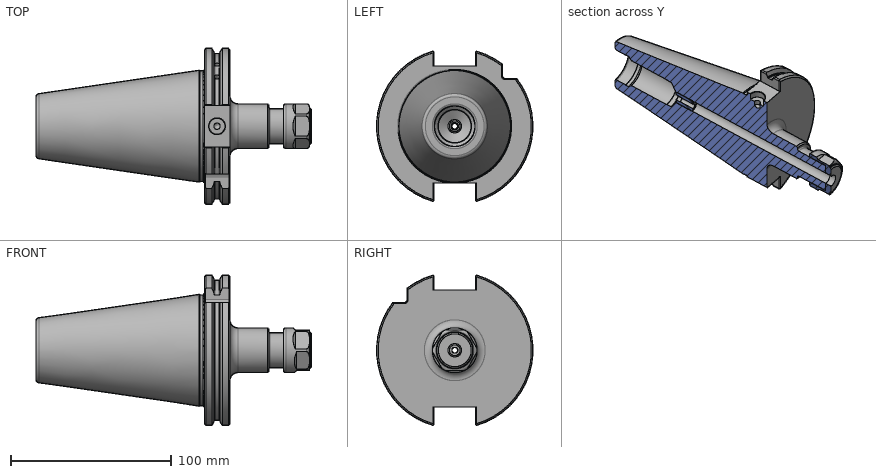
import cadquery as cq
import math

TOTAL_LENGTH = 171.8

TAPER_TIP_DIA = 40.2
TAPER_RATIO = 7 / 24
TAPER_LENGTH = 101.7
TAPER_TIP_FILLET = 2.0
RELIEF_DIA = 69.2
RELIEF_CONE_LENGTH = 0.7
RELIEF_FILLET = 0.9

FLANGE_START = 105.0
FLANGE_WIDTH = 16.0
FLANGE_DIA = 97.5
FLANGE_CHAMFER = 1.0
WALL_CHAMFER = 0.7

GROOVE_OFFSET = 7.9
GROOVE_MOUTH_WIDTH = 6.5
GROOVE_FLOOR_WIDTH = 3.6
GROOVE_VEE_DEPTH = 2.4
GROOVE_DEPTH = 3.3
GROOVE_FLOOR_FILLET = 0.5

SLOT_WIDTH = 25.6
SLOT_TOP_FLOOR = 37.6
SLOT_BOTTOM_FLOOR = 35.4
SLOT_RIM_CHAMFER = 0.9

NOTCH_WALL = 29.7
NOTCH_FILLET = 2.0

POCKET_DIA = 10.0
POCKET_DEPTH = 4.6
POCKET_CHAMFER = 0.25
PILOT_DIA = 4.0
PILOT_DEPTH = 3.5
DRILL_TIP_ANGLE = 118.0

RADIAL_HOLE_DIA = 3.5
RADIAL_HOLE_DEPTH = 5.2
RADIAL_HOLE_MIDDLE_ANGLE = 40.0
RADIAL_HOLE_SPACING_ANGLE = 15.0

NOSE_DIA = 28.0
NOSE_END = 145.1
NOSE_BASE_FILLET = 5.0
NOSE_CHAMFER = 0.9
NECK_DIA = 22.0
NECK_BASE_FILLET = 0.9

MOUTH_DIA = 28.0
PILOT_BORE_DIA = 25.0
PILOT_BORE_DEPTH = 8.6
UNDERCUT_DIA = 25.6
UNDERCUT_WIDTH = 2.2
DRAWBAR_BORE_DIA = 21.0
DRAWBAR_BORE_DEPTH = 41.2
DRILLED_END_DIA = 20.5
DRILLED_END_DEPTH = 44.7
CENTRE_BORE_DIA = 8.5

SCREW_LENGTH = 13.7
SCREW_CHAMFER = 0.9
SCREW_HOLE_DIA = 3.5
SCREW_COUNTERBORE_DIA = 4.0
SCREW_COUNTERBORE_DEPTH = 3.5
SCREW_MOUTH_CHAMFER = 0.3

NUT_START = 154.2
NUT_DIA = NOSE_DIA
NUT_REAR_FILLET = 1.5
NUT_SHOULDER = 170.5
NUT_SHOULDER_FILLET = 2.0
NUT_LIP_DIA = 23.0
NUT_LIP_EDGE_DIA = 22.3
NUT_LIP_EDGE_X = 171.0
NUT_FACE_DIA = 20.5
NUT_FRONT_WALL = 4.3
FLAT_COUNT = 6
ACROSS_FLATS = 25.0
UPPER_FLAT_START = 161.6
LOWER_FLAT_START = 162.5
FLAT_CUT_MARGIN = 1.7

FLANGE_END = FLANGE_START + FLANGE_WIDTH
FLANGE_RADIUS = FLANGE_DIA / 2
GROOVE_X = FLANGE_START + GROOVE_OFFSET
GROOVE_FLOOR_RADIUS = FLANGE_RADIUS - GROOVE_DEPTH
NECK_END = TOTAL_LENGTH - NUT_FRONT_WALL
TAPER_END_DIA = TAPER_TIP_DIA + TAPER_RATIO * TAPER_LENGTH


def drill_tip_length(large_dia, small_dia=0.0):
    """Length of a drill-point cone between two diameters."""
    return (large_dia - small_dia) / 2 / math.tan(math.radians(DRILL_TIP_ANGLE / 2))


CENTRE_BORE_START = DRILLED_END_DEPTH + drill_tip_length(DRILLED_END_DIA, CENTRE_BORE_DIA)


def turned(points):
    """Solid turned about X from a closed outline of (x, radius) points."""
    return cq.Workplane("XY").polyline(points).close().revolve(360, (0, 0, 0), (1, 0, 0))


def rod(start, end, diameter):
    """Cylinder along the X axis."""
    return cq.Workplane("YZ", origin=(start, 0, 0)).circle(diameter / 2).extrude(end - start)


def base_fillet(x, diameter, radius, side=1):
    """Ring that rounds the corner between a wall at x and a shaft on its +X or -X side."""
    shaft = diameter / 2
    diagonal = radius * (1 - math.sqrt(0.5))
    return (
        cq.Workplane("XY")
        .moveTo(x, shaft)
        .lineTo(x, shaft + radius)
        .threePointArc((x + side * diagonal, shaft + diagonal), (x + side * radius, shaft))
        .close()
        .revolve(360, (0, 0, 0), (1, 0, 0))
    )


def shank():
    relief_start = TAPER_LENGTH + RELIEF_CONE_LENGTH
    body = turned([
        (0, 0),
        (0, TAPER_TIP_DIA / 2),
        (TAPER_LENGTH, TAPER_END_DIA / 2),
        (relief_start, RELIEF_DIA / 2),
        (FLANGE_START, RELIEF_DIA / 2),
        (FLANGE_START, 0),
    ]).faces("<X").edges().fillet(TAPER_TIP_FILLET)
    return body.union(base_fillet(FLANGE_START, RELIEF_DIA, RELIEF_FILLET, -1))


def drive_slot(floor, side):
    """Cutter for a drive slot; side is +1 for the top and -1 for the bottom."""
    depth = FLANGE_RADIUS - floor
    middle = (FLANGE_START + FLANGE_WIDTH / 2, 0, side * (floor + depth / 2))
    return cq.Workplane("XY", origin=middle).box(FLANGE_WIDTH, SLOT_WIDTH, depth)


def orientation_notch():
    reach = FLANGE_RADIUS - NOTCH_WALL
    middle = (FLANGE_START + FLANGE_WIDTH / 2, -NOTCH_WALL - reach / 2, NOTCH_WALL + reach / 2)
    block = cq.Workplane("XY", origin=middle).box(FLANGE_WIDTH, reach, reach)
    return block.edges("|X and >Y and <Z").fillet(NOTCH_FILLET)


def gripper_groove():
    mouth = GROOVE_MOUTH_WIDTH / 2
    floor = GROOVE_FLOOR_WIDTH / 2
    vee_radius = FLANGE_RADIUS - GROOVE_VEE_DEPTH
    ring = turned([
        (GROOVE_X - mouth, FLANGE_RADIUS),
        (GROOVE_X - floor, vee_radius),
        (GROOVE_X - floor, GROOVE_FLOOR_RADIUS),
        (GROOVE_X + floor, GROOVE_FLOOR_RADIUS),
        (GROOVE_X + floor, vee_radius),
        (GROOVE_X + mouth, FLANGE_RADIUS),
    ])
    floor_edges = cq.selectors.RadiusNthSelector(0)
    return ring.edges(floor_edges).fillet(GROOVE_FLOOR_FILLET)


def is_wall_edge(edge):
    """True for end-face edges of the slot and notch walls, not of the rim or the slot floors."""
    middle = edge.Center()
    on_rim = edge.geomType() == "CIRCLE" and edge.radius() > NOTCH_WALL
    on_slot_floor = edge.geomType() == "LINE" and abs(middle.y) < SLOT_WIDTH / 4
    return not on_rim and not on_slot_floor


def flange():
    disc = rod(FLANGE_START, FLANGE_END, FLANGE_DIA)
    disc = disc.faces("<X or >X").edges().chamfer(FLANGE_CHAMFER)
    disc = disc.cut(drive_slot(SLOT_TOP_FLOOR, 1)).cut(drive_slot(SLOT_BOTTOM_FLOOR, -1))
    disc = disc.edges("|X").edges(">Z or <Z").chamfer(SLOT_RIM_CHAMFER)
    disc = disc.cut(orientation_notch())
    disc = disc.faces("<X or >X").edges().filter(is_wall_edge).chamfer(WALL_CHAMFER)
    return disc.cut(gripper_groove())


def slot_pocket():
    """Cutter for the round pocket in the top slot, with a drilled hole in its bottom."""
    top = SLOT_TOP_FLOOR
    bottom = top - POCKET_DEPTH
    hole_end = bottom - PILOT_DEPTH
    return (
        cq.Workplane("XZ")
        .polyline([
            (0, top),
            (POCKET_DIA / 2 + POCKET_CHAMFER, top),
            (POCKET_DIA / 2, top - POCKET_CHAMFER),
            (POCKET_DIA / 2, bottom),
            (PILOT_DIA / 2, bottom),
            (PILOT_DIA / 2, hole_end),
            (0, hole_end - drill_tip_length(PILOT_DIA)),
        ])
        .close()
        .revolve(360, (0, 0, 0), (0, 1, 0))
        .translate((GROOVE_X, 0, 0))
    )


def radial_hole(angle):
    """Cutter for a hole in the groove floor, at an angle from +Y towards +Z."""
    bottom = GROOVE_FLOOR_RADIUS - RADIAL_HOLE_DEPTH
    return (
        cq.Workplane("XZ", origin=(GROOVE_X, bottom, 0))
        .circle(RADIAL_HOLE_DIA / 2)
        .extrude(bottom - FLANGE_RADIUS)
        .rotate((0, 0, 0), (1, 0, 0), angle)
    )


def nose():
    body = rod(FLANGE_END, NOSE_END, NOSE_DIA).faces(">X").edges().chamfer(NOSE_CHAMFER)
    body = body.union(base_fillet(FLANGE_END, NOSE_DIA, NOSE_BASE_FILLET))
    neck = rod(NOSE_END, NECK_END, NECK_DIA)
    return body.union(neck).union(base_fillet(NOSE_END, NECK_DIA, NECK_BASE_FILLET))


def drawbar_bore():
    mouth_round = (MOUTH_DIA - PILOT_BORE_DIA) / 2
    undercut_end = PILOT_BORE_DEPTH + UNDERCUT_WIDTH
    cone_length = (UNDERCUT_DIA - DRAWBAR_BORE_DIA) / 2
    bore = turned([
        (0, 0),
        (0, PILOT_BORE_DIA / 2),
        (PILOT_BORE_DEPTH, PILOT_BORE_DIA / 2),
        (PILOT_BORE_DEPTH, UNDERCUT_DIA / 2),
        (undercut_end, UNDERCUT_DIA / 2),
        (undercut_end + cone_length, DRAWBAR_BORE_DIA / 2),
        (DRAWBAR_BORE_DEPTH, DRAWBAR_BORE_DIA / 2),
        (DRAWBAR_BORE_DEPTH, DRILLED_END_DIA / 2),
        (DRILLED_END_DEPTH, DRILLED_END_DIA / 2),
        (CENTRE_BORE_START, CENTRE_BORE_DIA / 2),
        (NECK_END, CENTRE_BORE_DIA / 2),
        (NECK_END, 0),
    ])
    return bore.union(base_fillet(0, PILOT_BORE_DIA, mouth_round))


def make_holder():
    body = shank().union(flange()).union(nose())
    body = body.cut(drawbar_bore()).cut(slot_pocket())
    for side in (-1, 1):
        body = body.cut(radial_hole(RADIAL_HOLE_MIDDLE_ANGLE + side * RADIAL_HOLE_SPACING_ANGLE / 2))
    return body


def make_stop_screw():
    start = CENTRE_BORE_START
    end = start + SCREW_LENGTH
    screw = rod(start, end, CENTRE_BORE_DIA).faces("<X or >X").edges().chamfer(SCREW_CHAMFER)
    screw = screw.cut(rod(start, end, SCREW_HOLE_DIA))
    screw = screw.cut(rod(start, start + SCREW_COUNTERBORE_DEPTH, SCREW_COUNTERBORE_DIA))
    mouth_edge = cq.selectors.RadiusNthSelector(0)
    return screw.faces("<X").edges(mouth_edge).chamfer(SCREW_MOUTH_CHAMFER)


def wrench_flat(start, angle):
    """Cutter for one flat, whose rear end slopes out at 45 degrees; angle is measured from +Z."""
    flat = ACROSS_FLATS / 2
    outside = NUT_DIA / 2 + FLAT_CUT_MARGIN
    rise = outside - flat
    return (
        cq.Workplane("XZ")
        .polyline([
            (start, flat),
            (NUT_SHOULDER, flat),
            (NUT_SHOULDER, outside),
            (start - rise, outside),
        ])
        .close()
        .extrude(NUT_DIA / 2, both=True)
        .rotate((0, 0, 0), (1, 0, 0), angle)
    )


def make_nut():
    nut = rod(NUT_START, NUT_SHOULDER, NUT_DIA)
    nut = nut.faces("<X").edges().fillet(NUT_REAR_FILLET)
    nut = nut.faces(">X").edges().fillet(NUT_SHOULDER_FILLET)
    lip = turned([
        (NUT_SHOULDER, 0),
        (NUT_SHOULDER, NUT_LIP_DIA / 2),
        (NUT_LIP_EDGE_X, NUT_LIP_EDGE_DIA / 2),
        (TOTAL_LENGTH, NUT_FACE_DIA / 2),
        (TOTAL_LENGTH, 0),
    ])
    for index in range(FLAT_COUNT):
        angle = index * 360 / FLAT_COUNT
        faces_up = math.cos(math.radians(angle)) > 0
        start = UPPER_FLAT_START if faces_up else LOWER_FLAT_START
        nut = nut.cut(wrench_flat(start, angle))
    nut = nut.union(lip)
    nut = nut.cut(rod(NUT_START, NECK_END, NECK_DIA))
    return nut.cut(rod(NECK_END, TOTAL_LENGTH, CENTRE_BORE_DIA))


holder = make_holder()
stop_screw = make_stop_screw()
nut = make_nut()
result = cq.Compound.makeCompound([holder.val(), stop_screw.val(), nut.val()])